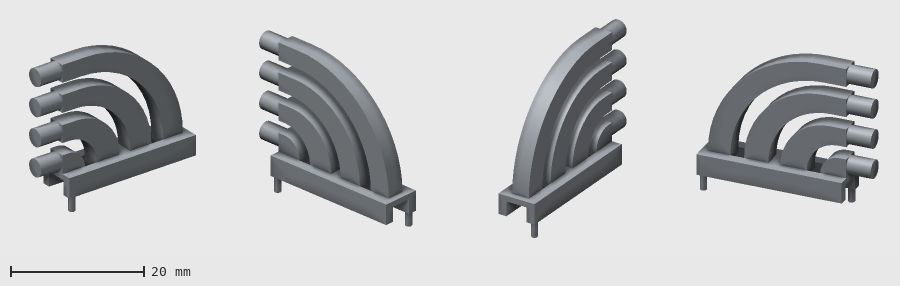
import cadquery as cq


base_width = 6.5
base_length = 23.8
base_height = 3.45
channel_width = 3.6
channel_roof = 0.95

pin_diameter = 1.1
pin_length = 2.53
pin_chamfer = 0.08
pin_x = 2.65
front_pin_y = 0.92
back_pin_y = 22.88

guide_size = 3.0
stub_length = 4.0
lowest_guide_top = 3.15
guide_stack_span = 15.23

back_edges = [4.25, 10.8, 16.74, 22.68]
front_edges = [None, 6.45, 12.75, 19.0]
open_gaps = [0, 2]

guide_pitch = guide_stack_span / (len(back_edges) - 1)


def quarter_bend(back_edge, height):
    """Solid from the base front face to a quarter-round back of the given height."""
    tangent_y = back_edge - height
    return (
        cq.Workplane("YZ", origin=(-guide_size / 2, 0, 0))
        .lineTo(back_edge, 0)
        .radiusArc((tangent_y, height), -height)
        .lineTo(0, height)
        .close()
        .extrude(guide_size)
    )


def light_guide(back_edge, front_edge, top):
    guide = quarter_bend(back_edge, top)
    if front_edge is not None:
        guide = guide.cut(quarter_bend(front_edge, top - guide_size))
    stub = (
        cq.Workplane("XZ", origin=(0, 0, top - guide_size / 2))
        .circle(guide_size / 2)
        .extrude(stub_length)
    )
    return guide.union(stub)


def channel_base():
    block = cq.Workplane("XY").box(
        base_width, base_length, base_height, centered=(True, False, False)
    ).translate((0, 0, -base_height))
    channel = cq.Workplane("XY").box(
        channel_width, base_length, base_height - channel_roof, centered=(True, False, False)
    ).translate((0, 0, -base_height))
    return block.cut(channel)


def roof_opening(front_guide):
    """Cutter through the channel roof, filling the gap behind one guide."""
    slot_start = back_edges[front_guide]
    slot_end = front_edges[front_guide + 1]
    return cq.Workplane("XY").box(
        guide_size, slot_end - slot_start, channel_roof, centered=(True, False, False)
    ).translate((0, slot_start, -channel_roof))


def locating_pins():
    return (
        cq.Workplane("XY", origin=(0, 0, -base_height))
        .pushPoints([(-pin_x, back_pin_y), (pin_x, front_pin_y)])
        .circle(pin_diameter / 2)
        .extrude(-pin_length)
        .faces("<Z")
        .chamfer(pin_chamfer)
    )


result = channel_base().union(locating_pins())
for gap in open_gaps:
    result = result.cut(roof_opening(gap))
for level, (back_edge, front_edge) in enumerate(zip(back_edges, front_edges)):
    guide_top = lowest_guide_top + level * guide_pitch
    result = result.union(light_guide(back_edge, front_edge, guide_top))